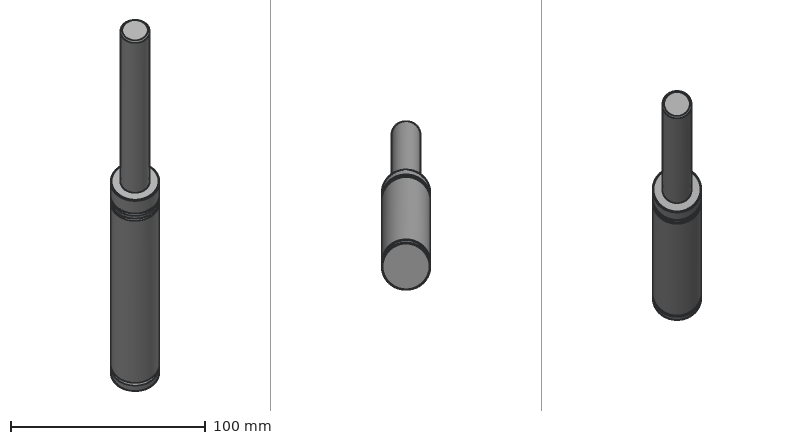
import cadquery as cq

total_length = 285.0
body_diameter = 25.0
body_length = 159.3
rod_diameter = 15.0

body_chamfer = 0.5
rod_chamfer = 1.0

base_groove = (6.3, 1.0)
lower_collar_groove = (143.0, 0.9)
upper_collar_groove = (147.3, 0.9)


def make_body():
    """Cylinder tube with both end edges chamfered."""
    body = cq.Workplane("XY").circle(body_diameter / 2).extrude(body_length)
    return body.faces("<Z or >Z").edges().chamfer(body_chamfer)


def make_rod():
    """Piston rod standing on the body, with a chamfered tip."""
    rod = (
        cq.Workplane("XY")
        .workplane(offset=body_length)
        .circle(rod_diameter / 2)
        .extrude(total_length - body_length)
    )
    return rod.faces(">Z").edges().chamfer(rod_chamfer)


def make_groove_cutter(height, section_radius):
    """Ring of circular section centred on the body surface."""
    return cq.Workplane("XY").add(
        cq.Solid.makeTorus(body_diameter / 2, section_radius, cq.Vector(0, 0, height))
    )


result = make_body().union(make_rod())
for groove_height, groove_radius in (base_groove, lower_collar_groove, upper_collar_groove):
    result = result.cut(make_groove_cutter(groove_height, groove_radius))